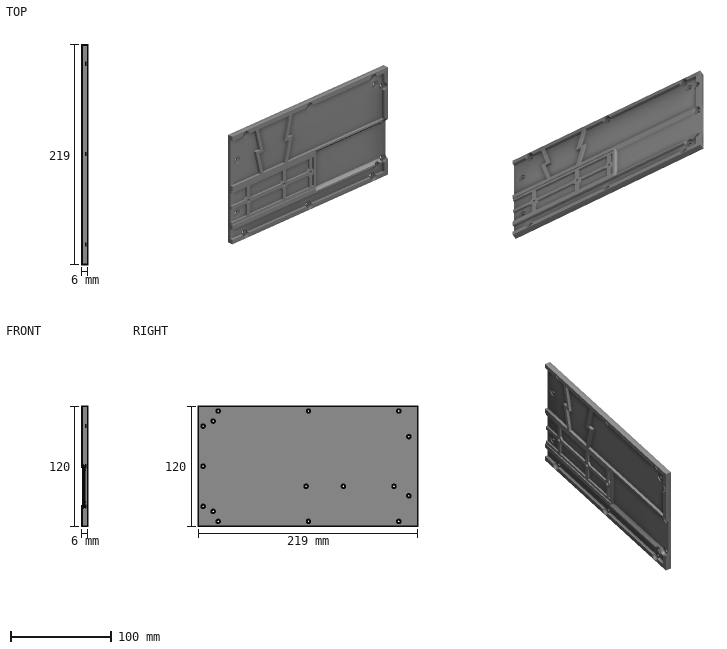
import cadquery as cq

thickness = 6.0
length = 219.0
height = 120.0

channel_z = 40.0
band_width = 38.4
band_depth = 1.0
window_depth = 3.0
window_width = band_width + 2 * window_depth
window_end_y = 101.5
window_floor_end_y = window_end_y - window_depth

rim = 5.0
window_lip = 2.0
pocket_depth = 3.0
upper_pocket_bottom = channel_z + window_width / 2 + window_lip
upper_pocket_top = height - rim
lower_pocket_top = channel_z - window_width / 2 - window_lip

rib_pair_y = 160.0
rib_spacing = 40.9
rib_width = 4.0
rib_slope = 0.25
rib_jog = 6.0
rib_step_height = 3.0

grid_border = 3.0
grid_height = band_width - 2 * grid_border
grid_end_y = 102.9
grid_bar_width = 4.0
grid_end_bar_width = 3.5
grid_corner_chamfer = 2.7
grid_bars = (
    (195.2, grid_bar_width),
    (144.8, grid_bar_width),
    (107.6, grid_end_bar_width),
)

hole_diameter = 3.4
counterbore_diameter = 8.5
counterbore_depth = 4.0
hole_inset = 5.0
long_edge_hole_ys = (20.0, 110.0, 200.0)
short_edge_hole_zs = (20.0, 60.0, 100.0)
corner_hole_inset = 15.0
open_end_hole_y = 210.0
open_end_hole_spacing = 59.0

overrun = 5.0


def prism(points, depth):
    """Solid with a (y, z) outline, from the worked face down to depth."""
    return cq.Workplane("YZ").polyline(points).close().extrude(depth)


def block(y_min, y_max, z_min, z_max, depth):
    """Rectangular solid from the worked face down to depth."""
    corners = [(y_min, z_min), (y_max, z_min), (y_max, z_max), (y_min, z_max)]
    return prism(corners, depth)


def zigzag_rib(side):
    """Rib leaning outward as it rises, with a jog at mid height; side is +1 or -1."""
    centre_y = rib_pair_y + side * rib_spacing / 2
    centre_z = (upper_pocket_bottom + upper_pocket_top) / 2
    half_rise = (upper_pocket_top - upper_pocket_bottom) / 2
    half_step = rib_step_height / 2
    lean = rib_slope * (half_rise - half_step)
    full_lean = rib_slope * (half_rise + half_step)

    notch = (rib_jog - rib_width - rib_slope * rib_step_height) / 2
    outer_edge = [
        (notch - lean, half_rise),
        (notch, half_step),
        (notch - rib_jog, half_step),
        (notch - rib_jog + full_lean, -half_rise),
    ]
    inner_edge = [(-inward, -upward) for inward, upward in outer_edge]
    points = [
        (centre_y - side * inward, centre_z + upward)
        for inward, upward in outer_edge + inner_edge
    ]
    return prism(points, pocket_depth)


def upper_pocket():
    """Large pocket above the band, with the two zigzag ribs left standing."""
    pocket = block(rim, length + overrun, upper_pocket_bottom, upper_pocket_top, pocket_depth)
    for side in (-1, 1):
        pocket = pocket.cut(zigzag_rib(side))
    return pocket


def lower_pocket():
    """Long narrow pocket below the band."""
    return block(rim, length + overrun, rim, lower_pocket_top, pocket_depth)


def band():
    """Shallow band from the +Y end, reaching over the window's end wall to its floor."""
    half_width = band_width / 2
    bottom = channel_z - half_width
    top = channel_z + half_width
    return block(window_floor_end_y, length + overrun, bottom, top, band_depth)


def window():
    """Recess open at the -Y end, with three walls sloping in to its floor."""
    half_width = window_width / 2
    floor_half_width = half_width - window_depth

    def outline(end_y, half):
        return [
            (-overrun, channel_z - half),
            (end_y, channel_z - half),
            (end_y, channel_z + half),
            (-overrun, channel_z + half),
        ]

    return (
        cq.Workplane("YZ")
        .polyline(outline(window_end_y, half_width))
        .close()
        .workplane(offset=window_depth)
        .polyline(outline(window_floor_end_y, floor_half_width))
        .close()
        .loft(ruled=True)
    )


def bar_junction(y, width):
    """Eight-sided pad where an upright bar meets the middle bar."""
    near = grid_bar_width / 2
    side = width / 2
    far_y = side + grid_corner_chamfer
    far_z = near + grid_corner_chamfer
    points = [
        (far_y, near),
        (side, far_z),
        (-side, far_z),
        (-far_y, near),
        (-far_y, -near),
        (-side, -far_z),
        (side, -far_z),
        (far_y, -near),
    ]
    return prism([(y + dy, channel_z + dz) for dy, dz in points], pocket_depth)


def grid_pockets():
    """Pockets inside the band, split by one middle bar and three upright bars."""
    half_height = grid_height / 2
    bottom = channel_z - half_height
    top = channel_z + half_height
    half_bar = grid_bar_width / 2
    pockets = block(grid_end_y, length + overrun, bottom, top, pocket_depth)
    middle_bar = block(
        grid_end_y, length + overrun, channel_z - half_bar, channel_z + half_bar, pocket_depth
    )
    pockets = pockets.cut(middle_bar)
    for y, width in grid_bars:
        pockets = pockets.cut(block(y - width / 2, y + width / 2, bottom, top, pocket_depth))
        pockets = pockets.cut(bar_junction(y, width))
    return pockets


def cylinders(centres, diameter, depth):
    """Round cutters at the (y, z) centres, from the worked face down to depth."""
    return cq.Workplane("YZ").pushPoints(centres).circle(diameter / 2).extrude(depth)


long_edge_holes = [(y, z) for y in long_edge_hole_ys for z in (hole_inset, height - hole_inset)]
short_edge_holes = [(hole_inset, z) for z in short_edge_hole_zs]
corner_holes = [(corner_hole_inset, z) for z in (corner_hole_inset, height - corner_hole_inset)]
open_end_holes = [
    (open_end_hole_y, (height + side * open_end_hole_spacing) / 2) for side in (-1, 1)
]
counterbored_holes = long_edge_holes + short_edge_holes + corner_holes + open_end_holes
plain_holes = [(y, channel_z) for y, _ in grid_bars]

result = (
    block(0, length, 0, height, thickness)
    .cut(upper_pocket())
    .cut(lower_pocket())
    .cut(band())
    .cut(grid_pockets())
    .cut(window())
    .cut(cylinders(counterbored_holes, counterbore_diameter, counterbore_depth))
    .cut(cylinders(counterbored_holes + plain_holes, hole_diameter, thickness))
)